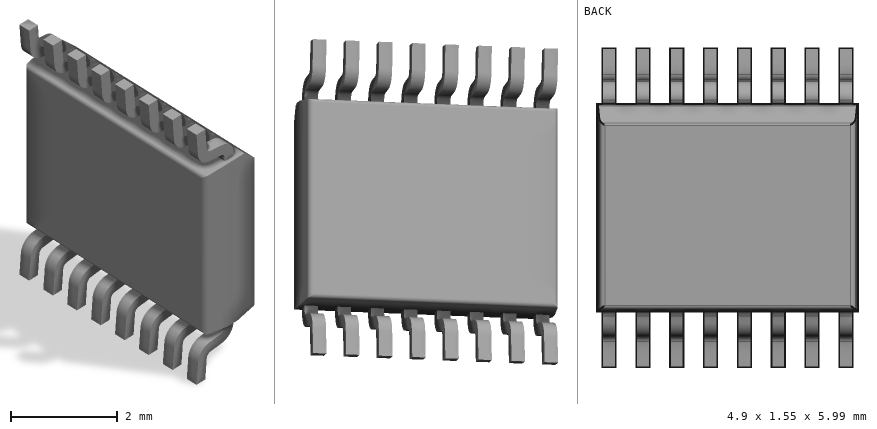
import cadquery as cq
import math


overall_height = 5.99
body_width = 4.9
body_height = 3.9
body_depth = 1.37
overall_depth = 1.55

band_depth = 0.25
draft_angle = 6.0
side_edge_radius = 0.1
end_edge_radius = 0.07
chamfer_depth = 0.32

leads_per_row = 8
lead_pitch = 0.635
lead_width = 0.26
lead_thickness = 0.235
inner_bend_radius = 0.115
shoulder_height = 2.235
arm_slope = 6.0
foot_tilt = 4.5
lead_root = 1.795

half_depth = body_depth / 2
foot_reach = overall_depth - half_depth
half_band = band_depth / 2
draft_inset = (half_depth - half_band) * math.tan(math.radians(draft_angle))


def drafted_outline(plane, half_size):
    """Octagonal outline in a plane holding Y: flat at the band, narrowing to both large faces."""
    face_half = half_size - draft_inset
    points = [
        (half_size, half_band), (face_half, half_depth),
        (-face_half, half_depth), (-half_size, half_band),
        (-half_size, -half_band), (-face_half, -half_depth),
        (face_half, -half_depth), (half_size, -half_band),
    ]
    if plane == "YZ":
        points = [(y, z) for z, y in points]
    return cq.Workplane(plane).polyline(points).close()


def make_body():
    """Intersect the two drafted outlines so that the rounded edges meet in mitres."""
    across = drafted_outline("XY", body_width / 2).extrude(body_height / 2, both=True)
    across = across.faces("<Y or >Y").edges("|Z").fillet(side_edge_radius)

    upright = drafted_outline("YZ", body_height / 2).extrude(body_width / 2, both=True)
    back_face_top = body_height / 2 - draft_inset
    bevel = (
        cq.Workplane("YZ")
        .moveTo(half_depth, back_face_top - chamfer_depth)
        .lineTo(half_depth - 2 * chamfer_depth, back_face_top + chamfer_depth)
        .lineTo(half_depth, back_face_top + chamfer_depth)
        .close()
        .extrude(body_width / 2, both=True)
    )
    upright = upright.cut(bevel)
    bevel_face = cq.selectors.DirectionMinMaxSelector(cq.Vector(0, 1, 1))
    face_edges = upright.faces("<Y or >Y").edges("|X")
    upright = face_edges.add(upright.faces(bevel_face).edges("|X")).fillet(end_edge_radius)
    return across.intersect(upright)


def make_lead():
    """One upper lead at X = 0, swept along a shank, arm and foot joined by two bends."""
    slope = math.radians(arm_slope)
    tilt = math.radians(foot_tilt)
    tip_z = overall_height / 2
    tip_y = -foot_reach + lead_thickness / 2 / math.cos(tilt)

    arm_dir = cq.Vector(0, -math.cos(slope), math.sin(slope))
    foot_dir = cq.Vector(0, -math.sin(tilt), math.cos(tilt))
    shank_dir = cq.Vector(0, 0, 1)

    shoulder = cq.Vector(0, 0, shoulder_height)
    tip = cq.Vector(0, tip_y, tip_z)
    gap = tip - shoulder
    arm_length = gap.cross(foot_dir).x / arm_dir.cross(foot_dir).x
    knee = shoulder + arm_dir * arm_length

    bend_radius = inner_bend_radius + lead_thickness / 2
    shoulder_setback = bend_radius * math.tan(shank_dir.getAngle(arm_dir) / 2)
    knee_setback = bend_radius * math.tan(arm_dir.getAngle(foot_dir) / 2)

    def flat(point):
        return (point.y, point.z)

    path = (
        cq.Workplane("YZ")
        .moveTo(0, lead_root)
        .lineTo(*flat(shoulder - shank_dir * shoulder_setback))
        .tangentArcPoint(flat(shoulder + arm_dir * shoulder_setback), relative=False)
        .lineTo(*flat(knee - arm_dir * knee_setback))
        .tangentArcPoint(flat(knee + foot_dir * knee_setback), relative=False)
        .lineTo(*flat(tip + foot_dir * lead_thickness))
    )
    strip = (
        cq.Workplane("XY", origin=(0, 0, lead_root))
        .rect(lead_width, lead_thickness)
        .sweep(path)
    )
    trim = cq.Workplane("XY").box(body_width, overall_height, overall_height)
    return strip.intersect(trim)


upper_lead = make_lead()
lower_lead = upper_lead.mirror("XY")
result = make_body()
for index in range(leads_per_row):
    lead_x = (index - (leads_per_row - 1) / 2) * lead_pitch
    result = result.union(upper_lead.translate((lead_x, 0, 0)))
    result = result.union(lower_lead.translate((lead_x, 0, 0)))